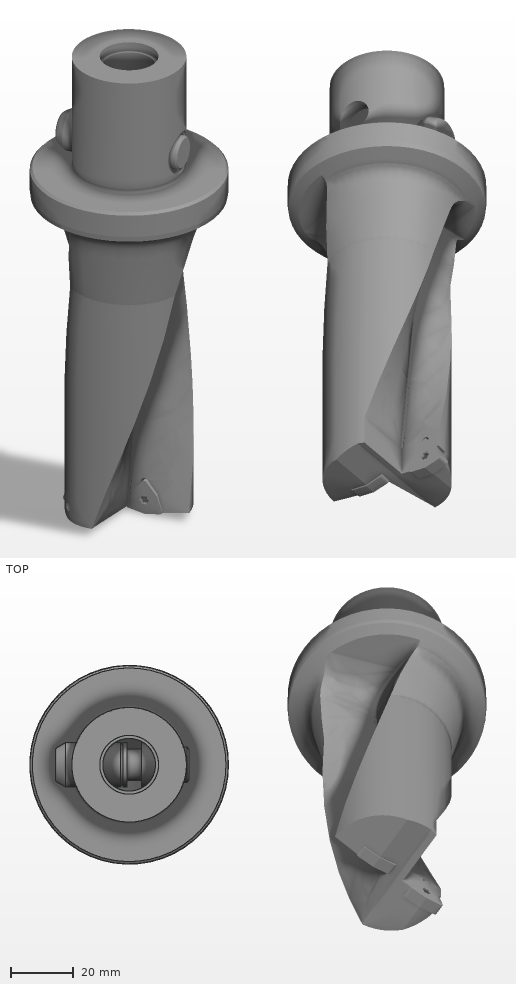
import cadquery as cq
import math


TOOL_LENGTH = 164.8
SHANK_RADIUS = 18.3
NECK_RADIUS = 17.8
NECK_TOP = 126.4
NECK_FILLET = 1.2
FLANGE_DIAMETER = 63.5
FLANGE_RADIUS = FLANGE_DIAMETER / 2
FLANGE_TOP = 125.0
FLANGE_CHAMFER = 0.8
FLANGE_BAND_BOTTOM = 116.3
FLANGE_BOTTOM = 114.5
FLANGE_BOTTOM_RADIUS = 31.5

SHOULDER_RADIUS = 26.2
SHOULDER_HEIGHT = 111.9
CONE_TOP_RADIUS = 24.4
CONE_TOP = 108.5
CONE_BOTTOM = 85.7
STEM_RADIUS = 20.6

COUNTERBORE_RADIUS = 9.4
COUNTERBORE_DEPTH = 3.1
BORE_RADIUS = 8.4
BORE_DEPTH = 39.5
BORE_POINT_HALF_ANGLE = 59.0

INDEX_HOLE_RADIUS = 5.8
INDEX_HOLE_HEIGHT = 140.7
INDEX_HOLE_DEPTH = 5.0

BOLT_HEIGHT = 134.0
BOLT_RADIUS = 7.1
BOLT_LEFT_END = -23.5
BOLT_CONE_END = -20.3
BOLT_NOSE_RADIUS = 5.6
BOLT_NOSE_CHAMFER = 0.7
BOLT_SPLIT = -2.0
BOLT_SPLIT_CHAMFER = 0.8
BOLT_COLLAR_END = -0.7
BOLT_NECK_END = 4.0
BOLT_NECK_RADIUS = 5.1
BOLT_SHOULDER = 16.6
BOLT_RIGHT_END = 19.1

INSERT_CORNER_RADIUS = 7.5
INSERT_MID_RADIUS = 5.0
INSERT_ROUNDING = 1.0
INSERT_CORNER_ANGLES = (90, 210, 330)
INSERT_HALF_PITCH = 60
INSERT_THICKNESS = 4.0
INSERT_HEIGHT = INSERT_MID_RADIUS
CENTRE_INSERT_X = 5.3
OUTER_INSERT_X = -15.2
POCKET_RELIEF_RADIUS = 1.5
POCKET_OPENING_TOP = 6.6
SEAT_RADIUS = 2.6
SCREW_RADIUS = 1.6
SCREW_LENGTH = 9.9
SCREW_HEAD_DEPTH = 2.0
SOCKET_ROOT_RADIUS = 1.3
SOCKET_LOBES = 6
SOCKET_LOBE_RADIUS = 0.3
SOCKET_DEPTH = 1.3
ACCESS_HOLE_RADIUS = 1.3

POINT_HEIGHT = 0.5
POINT_SLOPE = 0.17
VALLEY_X = -3.6

FLUTE_TOP = 112.9
FLUTE_END_RADIUS = 12.5
TWIST_RATE = 0.8252
FLUTE_REACH = 39.5
FLUTE_OVERRUN = 1.6
FLUTE_ROOT_FILLET = 0.7
TWISTED_SECTIONS = 5
OUTER_TWIST_START = 12.4
OUTER_ROOT_BOTTOM = (-6.0, 0.0)
OUTER_ROOT_TOP = (-8.5, -7.0)
OUTER_OPENING = 90.0
CENTRE_TWIST_START = 0.0
CENTRE_ROOT_BOTTOM = (-0.5, 0.0)
CENTRE_ROOT_TOP = (6.3, 2.1)
CENTRE_OPENING = 102.0


def polar(radius, degrees):
    """The two coordinates of a point at a radius and an angle."""
    angle = math.radians(degrees)
    return radius * math.cos(angle), radius * math.sin(angle)


def x_cylinder(radius, start, end):
    """Cylinder along X at the height of the cross bolts."""
    return cq.Workplane("YZ", origin=(start, 0, BOLT_HEIGHT)).circle(radius).extrude(end - start)


def y_cylinder(radius, x, z, start, end):
    """Cylinder along Y from start to end."""
    plane = cq.Plane(origin=(x, start, z), xDir=(1, 0, 0), normal=(0, 1, 0))
    return cq.Workplane(plane).circle(radius).extrude(end - start)


def turned_blank():
    profile = (
        cq.Workplane("XZ")
        .moveTo(0, 0)
        .lineTo(STEM_RADIUS, 0)
        .lineTo(STEM_RADIUS, CONE_BOTTOM)
        .lineTo(CONE_TOP_RADIUS, CONE_TOP)
        .spline(
            [(SHOULDER_RADIUS, SHOULDER_HEIGHT)],
            tangents=[
                (CONE_TOP_RADIUS - STEM_RADIUS, CONE_TOP - CONE_BOTTOM),
                (FLANGE_BOTTOM_RADIUS - SHOULDER_RADIUS, FLANGE_BOTTOM - SHOULDER_HEIGHT),
            ],
            includeCurrent=True,
        )
        .lineTo(FLANGE_BOTTOM_RADIUS, FLANGE_BOTTOM)
        .lineTo(FLANGE_RADIUS, FLANGE_BAND_BOTTOM)
        .lineTo(FLANGE_RADIUS, FLANGE_TOP - FLANGE_CHAMFER)
        .lineTo(FLANGE_RADIUS - FLANGE_CHAMFER, FLANGE_TOP)
        .lineTo(NECK_RADIUS + NECK_FILLET, FLANGE_TOP)
        .radiusArc((NECK_RADIUS, FLANGE_TOP + NECK_FILLET), NECK_FILLET)
        .lineTo(NECK_RADIUS, NECK_TOP)
        .lineTo(SHANK_RADIUS, NECK_TOP)
        .lineTo(SHANK_RADIUS, TOOL_LENGTH)
        .lineTo(0, TOOL_LENGTH)
        .close()
    )
    return profile.revolve(360, (0, 0, 0), (0, 1, 0))


def shank_bore():
    bore_bottom = TOOL_LENGTH - BORE_DEPTH
    counterbore_bottom = TOOL_LENGTH - COUNTERBORE_DEPTH
    point_depth = BORE_RADIUS / math.tan(math.radians(BORE_POINT_HALF_ANGLE))
    profile = cq.Workplane("XZ").polyline([
        (0, bore_bottom - point_depth),
        (BORE_RADIUS, bore_bottom),
        (BORE_RADIUS, counterbore_bottom),
        (COUNTERBORE_RADIUS, counterbore_bottom),
        (COUNTERBORE_RADIUS, TOOL_LENGTH),
        (0, TOOL_LENGTH),
    ]).close()
    return profile.revolve(360, (0, 0, 0), (0, 1, 0))


def index_hole():
    hole_floor = SHANK_RADIUS - INDEX_HOLE_DEPTH
    return y_cylinder(INDEX_HOLE_RADIUS, 0, INDEX_HOLE_HEIGHT, hole_floor, FLANGE_RADIUS)


def end_face_cut():
    """Everything below the two points that carry the inserts."""
    side = FLANGE_RADIUS
    valley = POINT_HEIGHT + POINT_SLOPE * (VALLEY_X - OUTER_INSERT_X)
    profile = cq.Workplane("XZ", origin=(0, side, 0)).polyline([
        (-side, POINT_HEIGHT + POINT_SLOPE * (OUTER_INSERT_X + side)),
        (OUTER_INSERT_X, POINT_HEIGHT),
        (VALLEY_X, valley),
        (CENTRE_INSERT_X, POINT_HEIGHT),
        (side, POINT_HEIGHT + POINT_SLOPE * (side - CENTRE_INSERT_X)),
        (side, -side),
        (-side, -side),
    ]).close()
    return profile.extrude(2 * side)


def flute(root_bottom, root_top, face_angle, opening, twist_start):
    """V-shaped flute that turns and moves its root outward as it rises, with a rounded run-out.

    face_angle is the direction of the wall that carries the insert, at the bottom.
    Below twist_start the flute runs straight down.
    """
    rise = FLUTE_TOP - twist_start

    def section(height):
        share = (height - twist_start) / rise
        root = [low + share * (high - low) for low, high in zip(root_bottom, root_top)]
        face = face_angle + TWIST_RATE * (height - twist_start)
        corners = [(root[0], root[1])]
        for direction in (face, face - opening):
            dx, dy = polar(FLUTE_REACH, direction)
            corners.append((root[0] + dx, root[1] + dy))
        points = [cq.Vector(x, y, height) for x, y in corners]
        return cq.Wire.makePolygon(points, close=True)

    heights = [twist_start + rise * i / TWISTED_SECTIONS for i in range(TWISTED_SECTIONS + 1)]
    twisted = cq.Workplane(cq.Solid.makeLoft([section(height) for height in heights]))

    end_angle = face_angle + TWIST_RATE * rise
    wall_x, wall_y = polar(FLUTE_REACH / 2, end_angle - opening)
    wall_middle = (root_top[0] + wall_x, root_top[1] + wall_y, FLUTE_TOP)
    twisted = twisted.edges(cq.selectors.NearestToPointSelector(wall_middle)).fillet(FLUTE_END_RADIUS)
    root_middle = [(low + high) / 2 for low, high in zip(root_bottom, root_top)]
    root_point = (*root_middle, (twist_start + FLUTE_TOP) / 2)
    twisted = twisted.edges(cq.selectors.NearestToPointSelector(root_point)).fillet(FLUTE_ROOT_FILLET)

    straight_face = cq.Face.makeFromWires(section(twist_start))
    straight = cq.Solid.extrudeLinear(straight_face, cq.Vector(0, 0, -FLUTE_OVERRUN - twist_start))
    return twisted.union(cq.Workplane(straight))


def place_centre(shape):
    return shape.translate((CENTRE_INSERT_X, 0, INSERT_HEIGHT))


def place_outer(shape):
    return shape.rotate((0, 0, 0), (0, 0, 1), 180).translate((OUTER_INSERT_X, 0, INSERT_HEIGHT))


PLACINGS = (place_centre, place_outer)


def trigon():
    points = []
    for corner_angle in INSERT_CORNER_ANGLES:
        points.append(polar(INSERT_CORNER_RADIUS, corner_angle))
        points.append(polar(INSERT_MID_RADIUS, corner_angle + INSERT_HALF_PITCH))
    blank = cq.Workplane("XZ").polyline(points).close().extrude(-INSERT_THICKNESS)
    for corner_angle in INSERT_CORNER_ANGLES:
        x, z = polar(INSERT_CORNER_RADIUS, corner_angle)
        edge_middle = (x, INSERT_THICKNESS / 2, z)
        blank = blank.edges(cq.selectors.NearestToPointSelector(edge_middle)).fillet(INSERT_ROUNDING)
    return blank


def screw_blank():
    profile = cq.Workplane("XY").polyline([
        (0, 0),
        (SEAT_RADIUS, 0),
        (SCREW_RADIUS, SCREW_HEAD_DEPTH),
        (SCREW_RADIUS, SCREW_LENGTH),
        (0, SCREW_LENGTH),
    ]).close()
    return profile.revolve(360, (0, 0, 0), (0, 1, 0))


def insert():
    return trigon().cut(screw_blank())


def screw():
    socket = y_cylinder(SOCKET_ROOT_RADIUS, 0, 0, 0, SOCKET_DEPTH)
    for lobe in range(SOCKET_LOBES):
        x, z = polar(SOCKET_ROOT_RADIUS, lobe * 360 / SOCKET_LOBES)
        socket = socket.union(y_cylinder(SOCKET_LOBE_RADIUS, x, z, 0, SOCKET_DEPTH))
    return screw_blank().cut(socket)


def insert_pocket():
    """Seat of an insert, with a relief at its upper corner and the hole for the screw."""
    mid_z, mid_x = polar(INSERT_MID_RADIUS, INSERT_HALF_PITCH)
    half_corner_angle = math.atan2(mid_x, INSERT_CORNER_RADIUS - mid_z)
    relief_height = INSERT_CORNER_RADIUS - INSERT_ROUNDING / math.sin(half_corner_angle)
    relief = y_cylinder(POCKET_RELIEF_RADIUS, 0, relief_height, 0, INSERT_THICKNESS)
    return trigon().union(relief).union(screw_blank())


def outer_pocket_opening():
    """Opens the outer pocket through the side of the stem."""
    inner_x = OUTER_INSERT_X - polar(INSERT_MID_RADIUS, 90 - INSERT_HALF_PITCH)[0]
    width = inner_x + FLANGE_RADIUS
    opening = cq.Workplane("XY").box(width, INSERT_THICKNESS, POCKET_OPENING_TOP, centered=False)
    return opening.translate((-FLANGE_RADIUS, -INSERT_THICKNESS, 0))


def access_hole():
    """Reaches the back end of the outer screw from the -Y side of the stem."""
    return y_cylinder(ACCESS_HOLE_RADIUS, OUTER_INSERT_X, INSERT_HEIGHT, -FLANGE_RADIUS, -SCREW_LENGTH)


def sliding_bolt():
    nose_end = BOLT_LEFT_END + BOLT_NOSE_CHAMFER
    profile = cq.Workplane("XY").polyline([
        (BOLT_LEFT_END, 0),
        (BOLT_LEFT_END, BOLT_NOSE_RADIUS - BOLT_NOSE_CHAMFER),
        (nose_end, BOLT_NOSE_RADIUS),
        (BOLT_CONE_END, BOLT_RADIUS),
        (BOLT_SPLIT - BOLT_SPLIT_CHAMFER, BOLT_RADIUS),
        (BOLT_SPLIT, BOLT_RADIUS - BOLT_SPLIT_CHAMFER),
        (BOLT_SPLIT, 0),
    ]).close()
    return profile.revolve(360, (0, 0, 0), (1, 0, 0)).translate((0, 0, BOLT_HEIGHT))


def stop_bolt():
    bolt = (
        x_cylinder(BOLT_RADIUS, BOLT_SPLIT, BOLT_COLLAR_END)
        .union(x_cylinder(BOLT_NECK_RADIUS, BOLT_COLLAR_END, BOLT_NECK_END))
        .union(x_cylinder(BOLT_RADIUS, BOLT_NECK_END, BOLT_SHOULDER))
        .union(x_cylinder(BOLT_NOSE_RADIUS, BOLT_SHOULDER, BOLT_RIGHT_END))
    )
    return bolt.faces(">X").chamfer(BOLT_NOSE_CHAMFER)


drill_body = (
    turned_blank()
    .cut(shank_bore())
    .cut(index_hole())
    .cut(x_cylinder(BOLT_RADIUS, -FLANGE_RADIUS, FLANGE_RADIUS))
    .cut(flute(OUTER_ROOT_BOTTOM, OUTER_ROOT_TOP, 180, OUTER_OPENING, OUTER_TWIST_START))
    .cut(flute(CENTRE_ROOT_BOTTOM, CENTRE_ROOT_TOP, 0, CENTRE_OPENING, CENTRE_TWIST_START))
    .cut(end_face_cut())
    .cut(outer_pocket_opening())
    .cut(access_hole())
)
inserts = []
screws = []
for place in PLACINGS:
    drill_body = drill_body.cut(place(insert_pocket()))
    inserts.append(place(insert()).val())
    screws.append(place(screw()).val())

result = cq.Compound.makeCompound(
    [drill_body.val(), sliding_bolt().val(), stop_bolt().val(), *inserts, *screws]
)